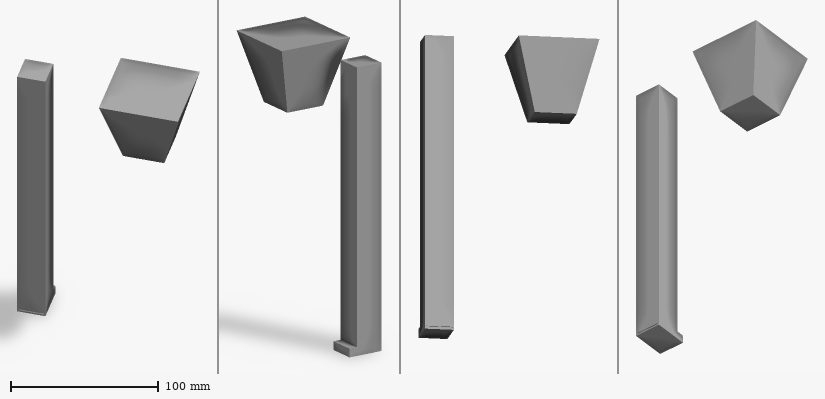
import cadquery as cq

overall_length = 117.8
post_side = 20.0
post_height = 206.0
post_front_y = -12.4
foot_reach = 6.0
foot_height = 6.2
slot_side_wall = 1.0
slot_depth = 1.0
slot_height = 0.8
slot_bottom_z = 1.2

block_top_side = 55.8
block_bottom_side = 29.0
block_height = 49.9
block_top_z = 204.5

block_bottom_z = block_top_z - block_height
post_left_x = block_top_side / 2 - overall_length
post_back_y = post_front_y + post_side
slot_width = post_side - 2 * slot_side_wall


def make_post():
    """Square post with a foot at the back and a thin slot across the front near the bottom."""
    profile = [
        (post_front_y, 0),
        (post_back_y + foot_reach, 0),
        (post_back_y + foot_reach, foot_height),
        (post_back_y, foot_height),
        (post_back_y, post_height),
        (post_front_y, post_height),
    ]
    body = (
        cq.Workplane("YZ")
        .workplane(offset=post_left_x)
        .polyline(profile)
        .close()
        .extrude(post_side)
    )
    slot = (
        cq.Workplane("XY")
        .box(slot_width, slot_depth, slot_height, centered=(True, False, False))
        .translate((post_left_x + post_side / 2, post_front_y, slot_bottom_z))
    )
    return body.cut(slot)


def make_block():
    """Square block that widens evenly from its bottom to its top."""
    return (
        cq.Workplane("XY")
        .workplane(offset=block_bottom_z)
        .rect(block_bottom_side, block_bottom_side)
        .workplane(offset=block_height)
        .rect(block_top_side, block_top_side)
        .loft(ruled=True)
    )


post = make_post()
block = make_block()

result = cq.Compound.makeCompound([post.val(), block.val()])